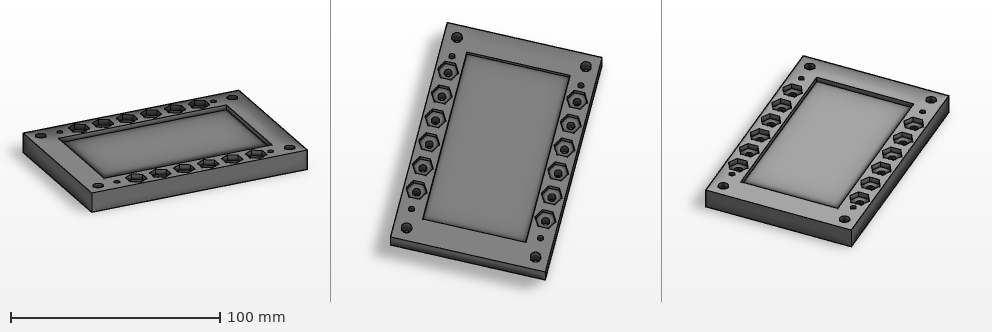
import cadquery as cq

plate_width = 76.2
plate_length = 114.3
plate_thickness = 10.2

pocket_width = 50.7
pocket_length = 88.9
pocket_depth = 2.5

column_x = (plate_width + pocket_width) / 4

mounting_diameter = 5.0
mounting_y = 50.7
pin_diameter = 2.7
pin_y = 40.7

nut_count = 6
nut_first_y = -30.5
nut_last_y = 33.0
nut_pitch = (nut_last_y - nut_first_y) / (nut_count - 1)
nut_across_corners = 10.2
nut_recess_depth = 2.9
nut_hole_diameter = 3.8


def in_both_columns(y_positions):
    """Points at the given Y positions in the left and right columns."""
    return [(x, y) for x in (-column_x, column_x) for y in y_positions]


def drill_through(body, points, diameter):
    """Cut a plain hole through the full thickness at each point."""
    tools = cq.Workplane("XY").pushPoints(points).circle(diameter / 2).extrude(plate_thickness)
    return body.cut(tools)


def cut_nut_recesses(body, points):
    """Sink a hexagon with corners pointing along X into the top face at each point."""
    floor = cq.Workplane("XY").workplane(offset=plate_thickness - nut_recess_depth)
    tools = floor.pushPoints(points).polygon(6, nut_across_corners).extrude(nut_recess_depth)
    return body.cut(tools)


def cut_pocket(body):
    """Sink the central rectangular pocket into the top face."""
    floor = cq.Workplane("XY").workplane(offset=plate_thickness - pocket_depth)
    return body.cut(floor.rect(pocket_width, pocket_length).extrude(pocket_depth))


nut_points = in_both_columns([nut_first_y + i * nut_pitch for i in range(nut_count)])

plate = cq.Workplane("XY").box(plate_width, plate_length, plate_thickness, centered=(True, True, False))
plate = cut_pocket(plate)
plate = drill_through(plate, in_both_columns([-mounting_y, mounting_y]), mounting_diameter)
plate = drill_through(plate, in_both_columns([-pin_y, pin_y]), pin_diameter)
plate = cut_nut_recesses(plate, nut_points)
plate = drill_through(plate, nut_points, nut_hole_diameter)

result = plate